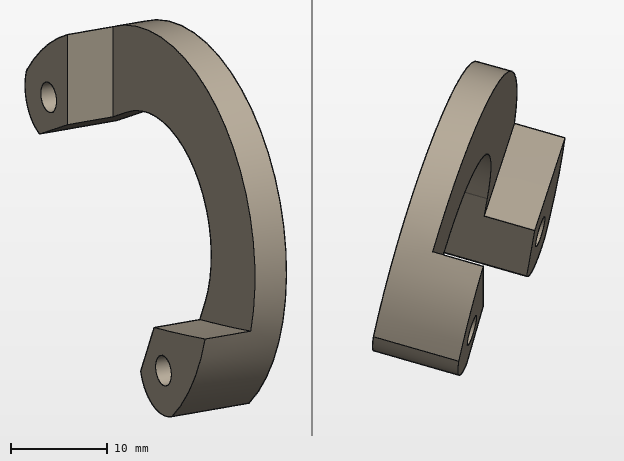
import cadquery as cq
import math

outer_radius = 21.15
inner_radius = 12.15
plate_thickness = 3.8
pad_height = 5.5
total_depth = plate_thickness + pad_height

hole_diameter = 3.2
end_radius = 4.87
hole_circle_radius = 16.6
upper_hole_angle = 135.0
lower_hole_angle = -45.0

upper_tangent_angle = 114.0
lower_tangent_angle = -26.6

upper_pad_edge_x = -7.9
lower_pad_inner = (9.85, -7.55)
lower_pad_outer = (20.25, -6.05)
lower_pad_sag = 0.055


def polar(radius, angle):
    """Point in the XZ plane at an angle in degrees from +X toward +Z."""
    return (radius * math.cos(math.radians(angle)), radius * math.sin(math.radians(angle)))


def toward(point, target, distance):
    """Point at a distance from one point on the way to another."""
    share = distance / math.dist(point, target)
    return tuple(p + share * (t - p) for p, t in zip(point, target))


def flank_tip(tangent_angle, hole_centre, turn):
    """Point where the flank tangent to the bore meets the far side of the end circle."""
    start = polar(inner_radius, tangent_angle)
    direction = polar(1, tangent_angle + turn * 90)
    offset = (hole_centre[0] - start[0], hole_centre[1] - start[1])
    along = offset[0] * direction[0] + offset[1] * direction[1]
    across_squared = offset[0] ** 2 + offset[1] ** 2 - along ** 2
    length = along + math.sqrt(end_radius ** 2 - across_squared)
    return (start[0] + length * direction[0], start[1] + length * direction[1])


upper_hole = polar(hole_circle_radius, upper_hole_angle)
lower_hole = polar(hole_circle_radius, lower_hole_angle)

corner_angle = math.degrees(math.acos(
    (outer_radius ** 2 + hole_circle_radius ** 2 - end_radius ** 2)
    / (2 * outer_radius * hole_circle_radius)
))
upper_corner = polar(outer_radius, upper_hole_angle + corner_angle)
lower_corner = polar(outer_radius, lower_hole_angle - corner_angle)
upper_tip = flank_tip(upper_tangent_angle, upper_hole, 1)
lower_tip = flank_tip(lower_tangent_angle, lower_hole, -1)


def end_middle(hole, corner, tip):
    """Point on the rounded end, halfway between its corner and its tip."""
    chord_middle = ((corner[0] + tip[0]) / 2, (corner[1] + tip[1]) / 2)
    return toward(hole, chord_middle, end_radius)


middle_angle = (upper_hole_angle + lower_hole_angle) / 2

body = (
    cq.Workplane("XZ", origin=(0, plate_thickness, 0))
    .moveTo(*upper_corner)
    .threePointArc(polar(outer_radius, middle_angle), lower_corner)
    .threePointArc(end_middle(lower_hole, lower_corner, lower_tip), lower_tip)
    .lineTo(*polar(inner_radius, lower_tangent_angle))
    .threePointArc(polar(inner_radius, middle_angle), polar(inner_radius, upper_tangent_angle))
    .lineTo(*upper_tip)
    .threePointArc(end_middle(upper_hole, upper_corner, upper_tip), upper_corner)
    .close()
    .extrude(total_depth)
)

clearance = 2 * outer_radius
inner_run_out = toward(lower_pad_outer, lower_pad_inner,
                       2 * math.dist(lower_pad_outer, lower_pad_inner))
bow_middle = (
    (lower_pad_inner[0] + lower_pad_outer[0]) / 2,
    (lower_pad_inner[1] + lower_pad_outer[1]) / 2 - lower_pad_sag,
)
relief = (
    cq.Workplane("XZ")
    .moveTo(upper_pad_edge_x, clearance)
    .lineTo(clearance, clearance)
    .lineTo(clearance, lower_pad_outer[1])
    .lineTo(*lower_pad_outer)
    .threePointArc(bow_middle, lower_pad_inner)
    .lineTo(*inner_run_out)
    .lineTo(upper_pad_edge_x, inner_run_out[1])
    .close()
    .extrude(pad_height)
)

holes = (
    cq.Workplane("XZ", origin=(0, plate_thickness, 0))
    .pushPoints([upper_hole, lower_hole])
    .circle(hole_diameter / 2)
    .extrude(total_depth)
)

result = body.cut(relief).cut(holes)